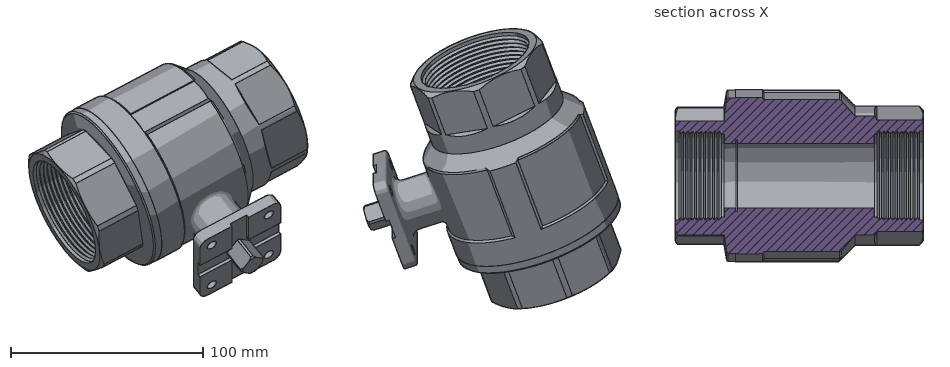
import cadquery as cq
import math


REAR_END = 65.5
LENGTH = 129.0
FRONT_END = REAR_END - LENGTH
REAR_FLAT_END = 41.4
FLAT_RUNOUT = 1.3
CONE_START = 30.0
COLLAR_REAR = -18.2
COLLAR_FRONT = -32.1
RETAINER_EDGE = -36.0
RETAINER_FACE = -38.0

END_RADIUS = 36.2
END_CHAMFER_RADIUS = 33.8
COLLAR_DIAMETER = 89.7
COLLAR_RADIUS = COLLAR_DIAMETER / 2
RECESS_DEPTH = 1.0
RECESS_RADIUS = COLLAR_RADIUS - RECESS_DEPTH
RETAINER_RADIUS = 44.6
RETAINER_BEVEL = 0.8
FLAT_APOTHEM = 34.0
FLAT_COUNT = 8
REAR_FLAT_ANGLE = 22.5
FRONT_FLAT_ANGLE = 10.5
REAR_CHAMFER = 2.2
FRONT_CHAMFER = 1.3
SHOULDER_BEVEL = 0.5

SIDE_STRIP_HALF_WIDTH = 7.2
TOP_STRIP_HALF_WIDTH = 6.6
TOP_STRIP_HEIGHT = 44.4

BORE_RADIUS = 25.0
THREAD_ROOT_RADIUS = 29.7
THREAD_CREST_RADIUS = 28.4
THREAD_ENTRY = 1.9
THREAD_PITCH = 2.3
THREAD_TURNS = 9
SOCKET_DEPTH = 25.4
SEAT_GAP_DEPTH = 31.6
SEAT_GAP_WIDTH = 0.8
SEAT_GAP_RADIUS = 26.3

NECK_RADIUS = 13.5
NECK_ROOT_FILLET = 2.3
FLARE_RADIUS = 5.3
FLANGE_BACK = 63.0
FLANGE_FACE = 70.2
FLANGE_SIZE = 50.0
FLANGE_CORNER = 5.0
FLANGE_ROUND = 1.3
HOLE_SPACING = 35.3
HOLE_DIAMETER = 5.5
CROSS_SLOT_WIDTH = 10.2
CROSS_SLOT_DEPTH = 1.8
STEM_END = 82.0
STEM_SQUARE = 11.0
STEM_CORNER_RADIUS = 7.1
STEM_CHAMFER = 1.0

CLEARANCE = 1.3


def turned(points):
    """Solid of revolution around Y from (radius, y) points."""
    return cq.Workplane("XY").polyline(points).close().revolve(360, (0, 0, 0), (0, 1, 0))


def cone_place(radius):
    """Y at which the 45 degree rear cone reaches a radius."""
    return CONE_START - (radius - END_RADIUS)


def valve_blank():
    """Turned body with the recessed middle, the collar, the retainer and both ends."""
    recess_front = COLLAR_REAR + RECESS_DEPTH
    bevel_radius = RECESS_RADIUS - SHOULDER_BEVEL
    return turned([
        (0, REAR_END),
        (END_CHAMFER_RADIUS, REAR_END),
        (END_RADIUS, REAR_END - REAR_CHAMFER),
        (END_RADIUS, CONE_START),
        (bevel_radius, cone_place(bevel_radius)),
        (RECESS_RADIUS, cone_place(RECESS_RADIUS) - SHOULDER_BEVEL),
        (RECESS_RADIUS, recess_front),
        (COLLAR_RADIUS, COLLAR_REAR),
        (COLLAR_RADIUS, COLLAR_FRONT),
        (RETAINER_RADIUS, COLLAR_FRONT),
        (RETAINER_RADIUS, RETAINER_EDGE),
        (RETAINER_RADIUS - RETAINER_BEVEL, RETAINER_EDGE - RETAINER_BEVEL),
        (END_RADIUS, RETAINER_FACE),
        (END_RADIUS, FRONT_END + FRONT_CHAMFER),
        (END_CHAMFER_RADIUS, FRONT_END),
        (0, FRONT_END),
    ])


def strip(half_width, height, angle):
    """Raised strip with 45 degree flanks; at angle 0 it lies on +Z, turning towards +X."""
    base = RECESS_RADIUS - 2 * RECESS_DEPTH
    base_half_width = half_width + height - base
    bar = (
        cq.Workplane("XZ", origin=(0, COLLAR_REAR, 0))
        .polyline([
            (-base_half_width, base),
            (base_half_width, base),
            (half_width, height),
            (-half_width, height),
        ])
        .close()
        .extrude(COLLAR_REAR - CONE_START)
    )
    return bar.rotate((0, 0, 0), (0, 1, 0), angle)


def strips():
    """Strips on +Z, -Z and -X, trimmed to the collar radius and the rear cone."""
    envelope = turned([
        (0, CONE_START),
        (END_RADIUS, CONE_START),
        (COLLAR_RADIUS, cone_place(COLLAR_RADIUS)),
        (COLLAR_RADIUS, COLLAR_REAR),
        (0, COLLAR_REAR),
    ])
    bars = (
        strip(TOP_STRIP_HALF_WIDTH, TOP_STRIP_HEIGHT, 0)
        .union(strip(TOP_STRIP_HALF_WIDTH, COLLAR_RADIUS, 180))
        .union(strip(SIDE_STRIP_HALF_WIDTH, COLLAR_RADIUS, -90))
    )
    return bars.intersect(envelope)


def cut_flats(body, outer_end, inner_end, runout, first_angle):
    """Cut the ring of wrench flats on one end of the pipe."""
    outside = END_RADIUS + CLEARANCE
    section = [
        (FLAT_APOTHEM, outer_end),
        (FLAT_APOTHEM, inner_end),
        (END_RADIUS, inner_end - runout),
        (outside, inner_end - runout),
        (outside, outer_end),
    ]
    half_width = FLAT_APOTHEM * math.tan(math.pi / FLAT_COUNT)
    cutter = cq.Workplane("XY").polyline(section).close().extrude(half_width, both=True)
    for index in range(FLAT_COUNT):
        angle = first_angle + index * 360 / FLAT_COUNT
        body = body.cut(cutter.rotate((0, 0, 0), (0, 1, 0), -angle))
    return body


def threaded_socket(end, inward):
    """Cutter for a threaded end; the thread is a row of V grooves, inward is +1 or -1 along Y."""
    depths = [(0, 0), (THREAD_ROOT_RADIUS, 0), (THREAD_ROOT_RADIUS, THREAD_ENTRY)]
    for turn in range(THREAD_TURNS):
        start = THREAD_ENTRY + turn * THREAD_PITCH
        depths.append((THREAD_CREST_RADIUS, start + THREAD_PITCH / 2))
        depths.append((THREAD_ROOT_RADIUS, start + THREAD_PITCH))
    thread_end = THREAD_ENTRY + THREAD_TURNS * THREAD_PITCH
    depths.append((THREAD_CREST_RADIUS, thread_end + THREAD_PITCH / 2))
    depths.append((THREAD_CREST_RADIUS, SOCKET_DEPTH))
    depths.append((0, SOCKET_DEPTH))
    return turned([(radius, end + inward * depth) for radius, depth in depths])


def ring_cutter(radius, front, length):
    """Round cutter on the pipe axis, running towards +Y."""
    return cq.Workplane("XZ", origin=(0, front, 0)).circle(radius).extrude(-length)


def neck():
    """Round neck with a concave flare into the mounting flange."""
    flare_start = FLANGE_BACK - FLARE_RADIUS
    diagonal = FLARE_RADIUS * math.sqrt(0.5)
    arc_middle = (flare_start + diagonal, NECK_RADIUS + FLARE_RADIUS - diagonal)
    return (
        cq.Workplane("XY")
        .moveTo(BORE_RADIUS, 0)
        .lineTo(BORE_RADIUS, NECK_RADIUS)
        .lineTo(flare_start, NECK_RADIUS)
        .threePointArc(arc_middle, (FLANGE_BACK, NECK_RADIUS + FLARE_RADIUS))
        .lineTo(FLANGE_BACK, 0)
        .close()
        .revolve(360, (0, 0, 0), (1, 0, 0))
    )


def flange():
    """Square mounting flange with four holes and a shallow cross slot in its outer face."""
    plate = (
        cq.Workplane("YZ", origin=(FLANGE_BACK, 0, 0))
        .rect(FLANGE_SIZE, FLANGE_SIZE)
        .extrude(FLANGE_FACE - FLANGE_BACK)
        .edges("|X")
        .fillet(FLANGE_CORNER)
        .faces("<X")
        .edges()
        .fillet(FLANGE_ROUND)
    )
    holes = (
        cq.Workplane("YZ", origin=(FLANGE_BACK, 0, 0))
        .rect(HOLE_SPACING, HOLE_SPACING, forConstruction=True)
        .vertices()
        .circle(HOLE_DIAMETER / 2)
        .extrude(FLANGE_FACE - FLANGE_BACK)
    )
    slots = cq.Workplane("YZ", origin=(FLANGE_FACE - CROSS_SLOT_DEPTH, 0, 0))
    along_y = slots.rect(FLANGE_SIZE, CROSS_SLOT_WIDTH).extrude(CROSS_SLOT_DEPTH)
    along_z = slots.rect(CROSS_SLOT_WIDTH, FLANGE_SIZE).extrude(CROSS_SLOT_DEPTH)
    return plate.cut(holes).cut(along_y).cut(along_z)


def stem():
    """Square drive standing on its corner, the corners turned round and the end chamfered."""
    base = FLANGE_FACE - CROSS_SLOT_DEPTH
    square = (
        cq.Workplane("YZ", origin=(base, 0, 0))
        .transformed(rotate=(0, 0, 45))
        .rect(STEM_SQUARE, STEM_SQUARE)
        .extrude(STEM_END - base)
    )
    turned_bar = (
        cq.Workplane("YZ", origin=(base, 0, 0))
        .circle(STEM_CORNER_RADIUS)
        .extrude(STEM_END - base)
        .faces(">X")
        .chamfer(STEM_CHAMFER)
    )
    return square.intersect(turned_bar)


body = valve_blank().union(neck())
neck_reach = NECK_RADIUS + CLEARANCE
neck_root = cq.selectors.BoxSelector(
    (BORE_RADIUS, -neck_reach, -neck_reach),
    (RECESS_RADIUS + CLEARANCE, neck_reach, neck_reach),
    boundingbox=True,
)
body = body.edges(neck_root).fillet(NECK_ROOT_FILLET)
body = body.union(strips())

body = cut_flats(body, REAR_END, REAR_FLAT_END, FLAT_RUNOUT, REAR_FLAT_ANGLE)
body = cut_flats(body, FRONT_END, RETAINER_FACE, 0, FRONT_FLAT_ANGLE)

body = body.cut(ring_cutter(BORE_RADIUS, FRONT_END, LENGTH))
body = body.cut(ring_cutter(SEAT_GAP_RADIUS, FRONT_END + SEAT_GAP_DEPTH, SEAT_GAP_WIDTH))
body = body.cut(threaded_socket(FRONT_END, 1))
body = body.cut(threaded_socket(REAR_END, -1))

result = body.union(flange()).union(stem())